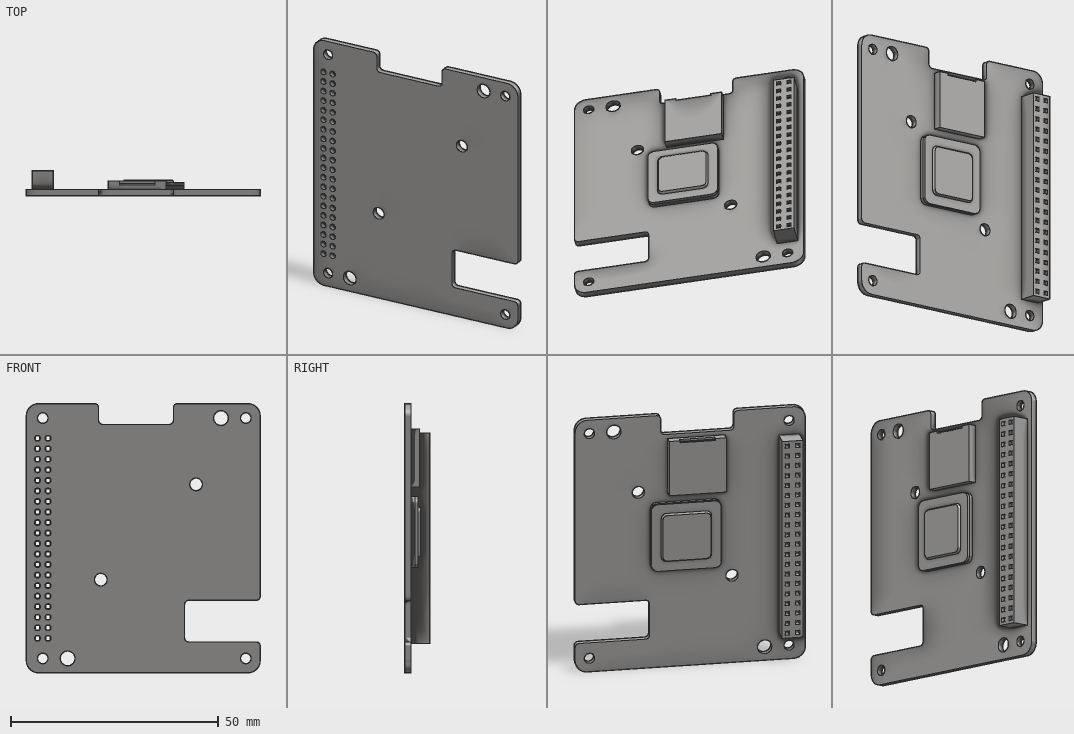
import cadquery as cq
import math


BOARD_WIDTH = 56.5
BOARD_HEIGHT = 65.0
BOARD_THICKNESS = 1.55
CORNER_RADIUS = 3.0
CUTOUT_RADIUS = 1.0

NOTCH_WIDTH = 18.0
NOTCH_DEPTH = 5.0
NOTCH_LEFT_INSET = 17.5
SLOT_WIDTH = 10.0
SLOT_DEPTH = 18.25
SLOT_BOTTOM_INSET = 7.5

MOUNT_SPACING_X = 49.0
MOUNT_SPACING_Z = 58.0
MOUNT_EDGE_INSET = 3.5
MOUNT_HOLE_DIAMETER = 2.5
PAD_DIAMETER = 6.0
PAD_THICKNESS = 0.05
MOUNT_RIGHT_X = BOARD_WIDTH / 2 - MOUNT_EDGE_INSET
MOUNT_LEFT_X = MOUNT_RIGHT_X - MOUNT_SPACING_X
MOUNT_TOP_Z = MOUNT_SPACING_Z / 2

SIDE_HOLE_DIAMETER = 3.5
SIDE_HOLE_OFFSET = 6.0

PROCESSOR_X = 1.25
PROCESSOR_Z = 1.5
COOLER_HOLE_DIAMETER = 3.0
COOLER_HOLE_SPACING = 23.0
PROCESSOR_SIZE = 17.2
PROCESSOR_CORNER_RADIUS = 1.6
SUBSTRATE_THICKNESS = 0.9
COVER_THICKNESS = 0.7
LID_SIZE = 12.4
LID_THICKNESS = 0.6
LID_CORNER_RADIUS = 1.4
LID_DRAFT_ANGLE = 30.0

PIN_PITCH = 2.54
PIN_COLUMNS = 2
PIN_ROWS = 20
SOCKET_OPENING = 1.0
PIN_HOLE_DIAMETER = SOCKET_OPENING * math.sqrt(2)
HEADER_DEPTH = 4.5
HEADER_X = MOUNT_LEFT_X

CONNECTOR_X = -1.45
CONNECTOR_TOP_INSET = 6.1
CONNECTOR_WIDTH = 14.0
CONNECTOR_LENGTH = 14.0
CONNECTOR_DEPTH = 2.05
RECESS_WIDTH = 8.6
RECESS_LENGTH = 0.5
RECESS_FLOOR = 1.1
INSERT_THICKNESS = 0.3
INSERT_LENGTH = 5.0
CONNECTOR_TOP_Z = BOARD_HEIGHT / 2 - CONNECTOR_TOP_INSET
RECESS_FLOOR_Y = BOARD_THICKNESS + RECESS_FLOOR


def block(width, depth, height, x, y, z):
    """Box centred on x and z that starts at y and extends in +Y."""
    return cq.Workplane("XY").box(width, depth, height, centered=(True, False, True)).translate((x, y, z))


def cylinders(points, diameter, start, end):
    """Cylinders along Y from start to end, one on each (x, z) point."""
    plane = cq.Workplane("XZ", origin=(0, start, 0))
    return plane.pushPoints(points).circle(diameter / 2).extrude(start - end)


def pin_points():
    """Positions of all header pins."""
    first_x = HEADER_X - PIN_PITCH * (PIN_COLUMNS - 1) / 2
    first_z = -PIN_PITCH * (PIN_ROWS - 1) / 2
    return [
        (first_x + column * PIN_PITCH, first_z + row * PIN_PITCH)
        for column in range(PIN_COLUMNS)
        for row in range(PIN_ROWS)
    ]


def board_outline():
    """Rounded board sheet with the top notch and the right slot."""
    right = BOARD_WIDTH / 2
    top = BOARD_HEIGHT / 2
    notch_x = -right + NOTCH_LEFT_INSET + NOTCH_WIDTH / 2
    slot_z = -top + SLOT_BOTTOM_INSET + SLOT_WIDTH / 2

    sheet = block(BOARD_WIDTH, BOARD_THICKNESS, BOARD_HEIGHT, 0, 0, 0).edges("|Y").fillet(CORNER_RADIUS)
    notch = block(NOTCH_WIDTH, BOARD_THICKNESS, 2 * NOTCH_DEPTH, notch_x, 0, top)
    slot = block(2 * SLOT_DEPTH, BOARD_THICKNESS, SLOT_WIDTH, right, 0, slot_z)
    sheet = sheet.cut(notch).cut(slot)

    notch_corners = [
        (notch_x + side * NOTCH_WIDTH / 2, z) for side in (-1, 1) for z in (top, top - NOTCH_DEPTH)
    ]
    slot_corners = [
        (x, slot_z + side * SLOT_WIDTH / 2) for side in (-1, 1) for x in (right, right - SLOT_DEPTH)
    ]
    for x, z in notch_corners + slot_corners:
        corner = cq.selectors.NearestToPointSelector((x, BOARD_THICKNESS / 2, z))
        sheet = sheet.edges("|Y").edges(corner).fillet(CUTOUT_RADIUS)
    return sheet


def make_board():
    """Board with all its through holes and flush pads round the mounting holes."""
    mounts = [(x, z) for x in (MOUNT_LEFT_X, MOUNT_RIGHT_X) for z in (-MOUNT_TOP_Z, MOUNT_TOP_Z)]
    side_holes = [
        (MOUNT_LEFT_X + SIDE_HOLE_OFFSET, -MOUNT_TOP_Z),
        (MOUNT_RIGHT_X - SIDE_HOLE_OFFSET, MOUNT_TOP_Z),
    ]
    cooler_holes = [
        (PROCESSOR_X + side * COOLER_HOLE_SPACING / 2, PROCESSOR_Z + side * COOLER_HOLE_SPACING / 2)
        for side in (-1, 1)
    ]
    board = board_outline()
    for points, diameter in (
        (mounts, MOUNT_HOLE_DIAMETER),
        (side_holes, SIDE_HOLE_DIAMETER),
        (cooler_holes, COOLER_HOLE_DIAMETER),
        (pin_points(), PIN_HOLE_DIAMETER),
    ):
        board = board.cut(cylinders(points, diameter, 0, BOARD_THICKNESS))
    pads = cylinders(mounts, PAD_DIAMETER, 0, PAD_THICKNESS)
    pads = pads.cut(cylinders(mounts, MOUNT_HOLE_DIAMETER, 0, PAD_THICKNESS))
    return board.union(pads, clean=False)


def make_header():
    """Header block with a square opening through it at every pin."""
    body = block(PIN_COLUMNS * PIN_PITCH, HEADER_DEPTH, PIN_ROWS * PIN_PITCH, HEADER_X, BOARD_THICKNESS, 0)
    plane = cq.Workplane("XZ", origin=(0, BOARD_THICKNESS, 0))
    openings = plane.pushPoints(pin_points()).rect(SOCKET_OPENING, SOCKET_OPENING).extrude(-HEADER_DEPTH)
    return body.cut(openings)


def make_connector():
    """Connector with a recess in its top end and a slot behind it that the insert fills."""
    body_z = CONNECTOR_TOP_Z - CONNECTOR_LENGTH / 2
    recess_z = CONNECTOR_TOP_Z - RECESS_LENGTH / 2
    recess_depth = CONNECTOR_DEPTH - RECESS_FLOOR
    body = block(CONNECTOR_WIDTH, CONNECTOR_DEPTH, CONNECTOR_LENGTH, CONNECTOR_X, BOARD_THICKNESS, body_z)
    recess = block(RECESS_WIDTH, recess_depth, RECESS_LENGTH, CONNECTOR_X, RECESS_FLOOR_Y, recess_z)
    return body.cut(recess).cut(make_insert())


def make_insert():
    """Thin plate level with the recess floor, its end flush with the back wall of the recess."""
    insert_z = CONNECTOR_TOP_Z - RECESS_LENGTH - INSERT_LENGTH / 2
    return block(RECESS_WIDTH, INSERT_THICKNESS, INSERT_LENGTH, CONNECTOR_X, RECESS_FLOOR_Y, insert_z)


def processor_layer(thickness, y):
    """Square layer of the processor with rounded corners."""
    layer = block(PROCESSOR_SIZE, thickness, PROCESSOR_SIZE, PROCESSOR_X, y, PROCESSOR_Z)
    return layer.edges("|Y").fillet(PROCESSOR_CORNER_RADIUS)


def make_substrate():
    """Lower layer of the processor, on the board."""
    return processor_layer(SUBSTRATE_THICKNESS, BOARD_THICKNESS)


def make_cover():
    """Upper layer of the processor with a raised lid whose rounded walls lean inwards."""
    base_y = BOARD_THICKNESS + SUBSTRATE_THICKNESS
    lid_y = base_y + COVER_THICKNESS
    lid_outline = cq.Sketch().rect(LID_SIZE, LID_SIZE).vertices().fillet(LID_CORNER_RADIUS)
    lid_plane = cq.Plane(origin=(PROCESSOR_X, lid_y, PROCESSOR_Z), xDir=(1, 0, 0), normal=(0, 1, 0))
    lid = cq.Workplane(lid_plane).placeSketch(lid_outline).extrude(LID_THICKNESS, taper=LID_DRAFT_ANGLE)
    return processor_layer(COVER_THICKNESS, base_y).union(lid)


board = make_board()
header = make_header()
connector = make_connector()
insert = make_insert()
substrate = make_substrate()
cover = make_cover()

result = cq.Compound.makeCompound(
    [board.val(), header.val(), connector.val(), insert.val(), substrate.val(), cover.val()]
)